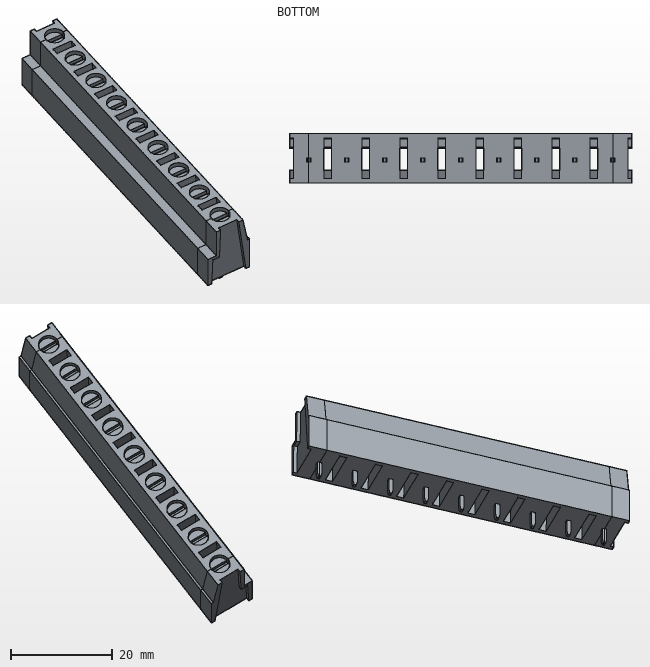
import cadquery as cq
length = 67.5
poles = 9
pitch = length / poles
end_length = pitch / 2

depth = 9.8
height = 13.8
front_step_y = 1.95
front_step_z = 7.2
back_ledge_y = 9.3
back_ledge_z = 7.7
back_top_y = 8.25

slot_width = 1.5
slot_front_top_y = 3.0
slot_back_top_y = 7.2
slot_front_bottom_y = 0.9
slot_back_bottom_y = 8.9
slot_step_z = 6.5
slot_step_inner_y = 2.7
slot_step_outer_y = 1.15

pole_y = 5.25
screw_diameter = 4.0
screw_recess = 1.0
driver_slot_width = 0.8
driver_slot_depth = 0.8
pin_width = 0.9
pin_thickness = 0.8
pin_length = 3.5
pin_taper_length = 0.8
pin_tip_width = 0.5

pole_positions = [(index + 0.5) * pitch for index in range(poles)]
boundary_positions = [index * pitch for index in range(poles + 1)]


def extrude_along_x(points, x_start, x_end):
    """Prism with a (Y, Z) outline running from x_start to x_end."""
    return cq.Workplane("YZ", origin=(x_start, 0, 0)).polyline(points).close().extrude(x_end - x_start)


def housing_blank():
    outline = [
        (0, 0),
        (depth, 0),
        (depth, back_ledge_z),
        (back_ledge_y, back_ledge_z),
        (back_top_y, height),
        (front_step_y, height),
        (front_step_y, front_step_z),
        (0, front_step_z),
    ]
    return extrude_along_x(outline, 0, length)


def boundary_slot(x):
    """Slot through the full height, widening downwards and stepping under the front step."""
    outline = [
        (slot_front_bottom_y, 0),
        (slot_back_bottom_y, 0),
        (slot_back_top_y, height),
        (slot_front_top_y, height),
        (slot_step_inner_y, slot_step_z),
        (slot_step_outer_y, slot_step_z),
    ]
    return extrude_along_x(outline, x - slot_width / 2, x + slot_width / 2)


def screw_recess_cut(x):
    """Round recess above the screw head, with the driver slot across the head."""
    head_z = height - screw_recess
    recess = cq.Workplane("XY", origin=(x, pole_y, head_z)).circle(screw_diameter / 2).extrude(screw_recess)
    slot_blank = cq.Workplane("XY", origin=(x, pole_y, head_z)).circle(screw_diameter / 2).extrude(-driver_slot_depth)
    slot_strip = cq.Workplane("XY").box(driver_slot_width, screw_diameter, 2 * driver_slot_depth)
    driver_slot = slot_blank.intersect(slot_strip.translate((x, pole_y, head_z)))
    return recess.union(driver_slot)


def contact_pin(x):
    """Flat pin below the housing, tapered in X at its tip."""
    half_width = pin_width / 2
    half_tip = pin_tip_width / 2
    taper_z = pin_taper_length - pin_length
    outline = [
        (-half_width, 0),
        (-half_width, taper_z),
        (-half_tip, -pin_length),
        (half_tip, -pin_length),
        (half_width, taper_z),
        (half_width, 0),
    ]
    pin = cq.Workplane("XZ", origin=(x, pole_y, 0)).polyline(outline).close()
    return pin.extrude(pin_thickness / 2, both=True)


def full_row():
    row = housing_blank()
    for x in boundary_positions:
        row = row.cut(boundary_slot(x))
    for x in pole_positions:
        row = row.cut(screw_recess_cut(x))
        row = row.union(contact_pin(x))
    return row


def row_section(row, x_start, x_end):
    """Part of the row between two planes normal to X."""
    total_height = height + pin_length
    section_box = cq.Workplane("XY").box(x_end - x_start, depth, total_height, centered=False)
    return row.intersect(section_box.translate((x_start, 0, -pin_length))).solids()


row = full_row()
left_end = row_section(row, 0, end_length)
middle = row_section(row, end_length, length - end_length)
right_end = row_section(row, length - end_length, length)

result = cq.Compound.makeCompound([left_end.val(), middle.val(), right_end.val()])